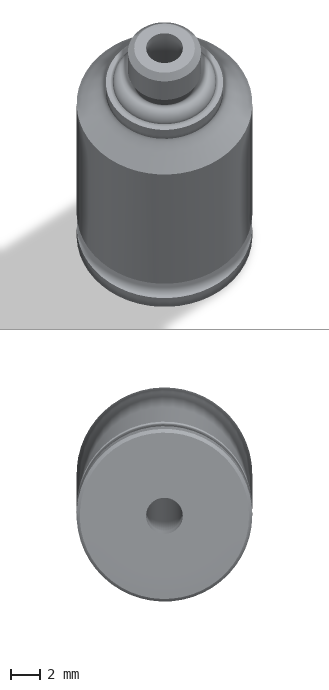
import cadquery as cq

body_diameter = 12.0
collar_diameter = 8.0
thread_diameter = 5.0
relief_diameter = 4.14
stem_diameter = 7.3
bore_diameter = 2.5
seal_diameter = 7.05

total_height = 22
flange_top = 1.23
body_bottom = 2.73
shoulder_bottom = 15.58
collar_bottom = 16.98
collar_top = 18.02
thread_bottom = 19.43

flange_chamfer = 0.22
body_chamfer = 0.18

body_radius = body_diameter / 2
collar_radius = collar_diameter / 2
thread_radius = thread_diameter / 2
relief_radius = relief_diameter / 2
stem_radius = stem_diameter / 2
bore_radius = bore_diameter / 2
seal_radius = seal_diameter / 2

thread_chamfer = thread_radius - relief_radius

seal_height = (seal_radius - relief_radius) / 2
seal_center_radius = (seal_radius + relief_radius) / 2

result = (
    cq.Workplane("XZ")
    .moveTo(bore_radius, 0)
    .lineTo(body_radius - flange_chamfer, 0)
    .lineTo(body_radius, flange_chamfer)
    .lineTo(body_radius, flange_top)
    .lineTo(stem_radius, flange_top)
    .lineTo(stem_radius, body_bottom)
    .lineTo(body_radius - body_chamfer, body_bottom)
    .lineTo(body_radius, body_bottom + body_chamfer)
    .lineTo(body_radius, shoulder_bottom)
    .lineTo(collar_radius, collar_bottom)
    .lineTo(collar_radius, collar_top)
    .lineTo(seal_radius, collar_top)
    .threePointArc(
        (seal_center_radius, collar_top + seal_height),
        (relief_radius, collar_top),
    )
    .lineTo(relief_radius, thread_bottom - thread_chamfer)
    .lineTo(thread_radius, thread_bottom)
    .lineTo(thread_radius, total_height - thread_chamfer)
    .lineTo(thread_radius - thread_chamfer, total_height)
    .lineTo(bore_radius, total_height)
    .close()
    .revolve(360, (0, 0), (0, 1))
)